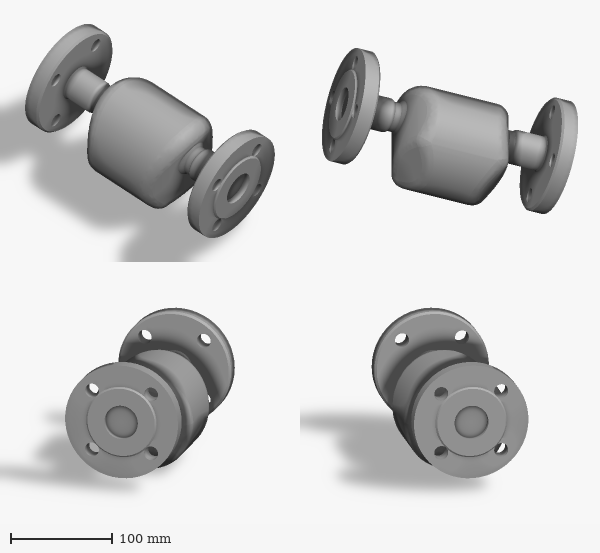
import cadquery as cq
import math

half_length = 115.0

flange_diameter = 115.0
raised_face_diameter = 71.8
raised_face_height = 1.8
raised_face_chamfer = 1.5
flange_back_x = 96.5
flange_chamfer = 2.0
bore_diameter = 34.0
bore_depth = 6.5
bolt_circle_diameter = 85.0
bolt_hole_diameter = 14.0
bolt_hole_count = 4
first_bolt_hole_angle = 45

hub_diameter = 34.5
hub_flare = 1.4
hub_end_x = 64.6
hub_rounding_length = 3.2
hub_root_chamfer = 0.7
neck_diameter = 30.0
weld_start_x = 57.7
weld_length = 5.0

body_diameter = 104.0
body_center_z = -19.0
body_half_length = 55.7
body_end_radius = 85.0
bottom_chamfer = 27.0
body_fillet = 14.3

flange_radius = flange_diameter / 2
raised_face_radius = raised_face_diameter / 2
hub_radius = hub_diameter / 2
neck_radius = neck_diameter / 2
body_radius = body_diameter / 2
flange_front_x = half_length - raised_face_height


def make_body():
    """Horizontal cylinder with bowed ends, sloped lower corners and rounded edges."""
    cylinder = (
        cq.Workplane("YZ")
        .center(0, body_center_z)
        .circle(body_radius)
        .extrude(body_half_length, both=True)
    )
    bow_center_x = body_half_length - body_end_radius
    bow_side_x = bow_center_x + math.sqrt(body_end_radius**2 - body_radius**2)
    bowed_plan = (
        cq.Workplane("XY")
        .workplane(offset=body_center_z - body_radius)
        .moveTo(-bow_side_x, -body_radius)
        .lineTo(bow_side_x, -body_radius)
        .threePointArc((body_half_length, 0), (bow_side_x, body_radius))
        .lineTo(-bow_side_x, body_radius)
        .threePointArc((-body_half_length, 0), (-bow_side_x, -body_radius))
        .close()
        .extrude(body_diameter)
    )
    sloped_block = (
        cq.Workplane("XZ")
        .center(0, body_center_z)
        .rect(2 * body_half_length, body_diameter)
        .extrude(body_radius, both=True)
        .edges("|Y and <Z")
        .chamfer(bottom_chamfer)
    )
    body = cylinder.intersect(bowed_plan).intersect(sloped_block)
    rounded_edges = body.edges("not |X")
    return rounded_edges.fillet(body_fillet)


def make_connection():
    """Flange, hub, neck and weld at the +X end, revolved about the pipe axis."""
    weld_end_x = weld_start_x - weld_length
    return (
        cq.Workplane("XY")
        .moveTo(0, 0)
        .lineTo(half_length, 0)
        .lineTo(half_length, raised_face_radius - raised_face_chamfer)
        .lineTo(flange_front_x, raised_face_radius)
        .lineTo(flange_front_x, flange_radius)
        .lineTo(flange_back_x + flange_chamfer, flange_radius)
        .lineTo(flange_back_x, flange_radius - flange_chamfer)
        .lineTo(flange_back_x, hub_radius + hub_flare)
        .lineTo(flange_back_x - hub_flare, hub_radius)
        .lineTo(hub_end_x + hub_rounding_length, hub_radius)
        .tangentArcPoint((hub_end_x, neck_radius + hub_root_chamfer), relative=False)
        .lineTo(hub_end_x - hub_root_chamfer, neck_radius)
        .lineTo(weld_start_x, neck_radius)
        .lineTo(weld_end_x, neck_radius + weld_length)
        .lineTo(0, neck_radius)
        .close()
        .revolve(360, (0, 0), (1, 0))
    )


def make_flange_holes():
    """Blind bore and bolt holes of the +X flange."""
    face = cq.Workplane("YZ").workplane(offset=half_length)
    bore = face.circle(bore_diameter / 2).extrude(-bore_depth)
    bolt_holes = (
        face.polarArray(bolt_circle_diameter / 2, first_bolt_hole_angle, 360, bolt_hole_count)
        .circle(bolt_hole_diameter / 2)
        .extrude(flange_back_x - half_length)
    )
    return bore.union(bolt_holes)


connection = make_connection().cut(make_flange_holes())
result = make_body().union(connection).union(connection.mirror("YZ"))